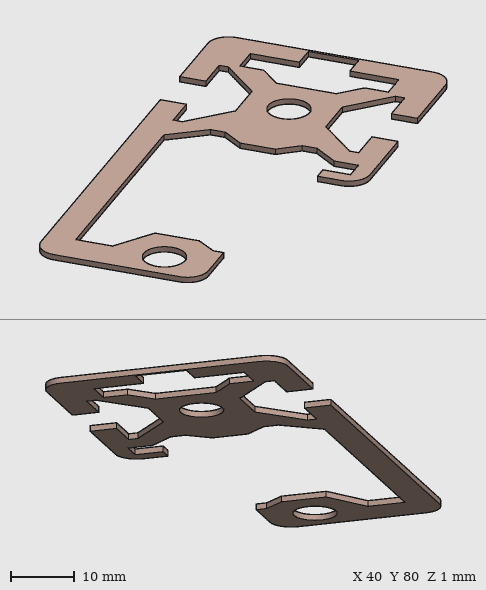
import cadquery as cq


width = 40.0
length = 80.0
thickness = 1.0
corner_radius = 3.5
hole_diameter = 7.0

half_width = width / 2
foot_bottom = half_width - length
foot_right = 8.2

slot_half_opening = 4.2
slot_lip_inside = 15.6
hub_half = 7.6

side_half_height = 10.1
side_ramp = 6.5

top_skin = 0.5
top_half_width = 12.5
top_shoulder = 11.0
top_floor_half = 5.0
top_ramp = top_shoulder - hub_half

channel_left = -15.1
channel_left_top = -15.4
channel_roof = -11.0
roof_outer = 9.0
roof_inner = 6.5
boss_bottom = -13.7
boss_half_width = 3.0

hook_ramp_end = 13.0
hook_roof = -14.2
hook_wall = 17.1
hook_lip_top = -17.6
hook_lip_end = 12.5

foot_floor = -53.9
foot_ramp_start = -9.0
foot_top = -47.4
foot_top_left = -4.3
foot_top_right = 3.1
foot_shoulder = -49.8
foot_shoulder_start = 6.4
foot_hole_y = -54.5


def plate(points):
    return cq.Workplane("XY").polyline(points).close().extrude(thickness)


def make_body():
    head = cq.Workplane("XY").rect(width, width).extrude(thickness)
    head = head.edges("|Z").edges(">Y or >X").fillet(corner_radius)
    leg = plate([
        (-half_width, 0),
        (foot_right, 0),
        (foot_right, foot_bottom),
        (-half_width, foot_bottom),
    ])
    leg = leg.edges("|Z").edges("<Y").fillet(corner_radius)
    return head.union(leg)


def make_side_slot(side):
    """Open T-slot on the right (side = 1) or left (side = -1)."""
    hub_half_height = side_half_height - side_ramp
    upper = [
        (hub_half, hub_half_height),
        (hub_half + side_ramp, side_half_height),
        (slot_lip_inside, side_half_height),
        (slot_lip_inside, slot_half_opening),
        (half_width, slot_half_opening),
    ]
    lower = [(x, -y) for x, y in reversed(upper)]
    return plate([(side * x, y) for x, y in upper + lower])


def make_top_slot():
    slot_top = half_width - top_skin
    right = [
        (top_floor_half, hub_half),
        (top_floor_half + top_ramp, top_shoulder),
        (top_half_width, top_shoulder),
        (top_half_width, slot_lip_inside),
        (slot_half_opening, slot_lip_inside),
        (slot_half_opening, slot_top),
    ]
    left = [(-x, y) for x, y in reversed(right)]
    return plate(right + left)


def make_channel():
    """Space between hub and foot, open to the right below the hook."""
    roof = [
        (channel_left, channel_left_top),
        (-roof_outer, channel_roof),
        (-roof_inner, channel_roof),
        (-boss_half_width, boss_bottom),
        (boss_half_width, boss_bottom),
        (roof_inner, channel_roof),
        (roof_outer, channel_roof),
    ]
    hook = [
        (hook_ramp_end, hook_roof),
        (hook_wall, hook_roof),
        (hook_wall, hook_lip_top),
        (hook_lip_end, hook_lip_top),
    ]
    foot = [
        (hook_lip_end, foot_shoulder),
        (foot_shoulder_start, foot_shoulder),
        (foot_top_right, foot_top),
        (foot_top_left, foot_top),
        (foot_ramp_start, foot_floor),
        (channel_left, foot_floor),
    ]
    return plate(roof + hook + foot)


def make_holes():
    centres = [(0, 0), (0, foot_hole_y)]
    return cq.Workplane("XY").pushPoints(centres).circle(hole_diameter / 2).extrude(thickness)


result = make_body()
for side in (-1, 1):
    result = result.cut(make_side_slot(side))
result = result.cut(make_top_slot()).cut(make_channel()).cut(make_holes())